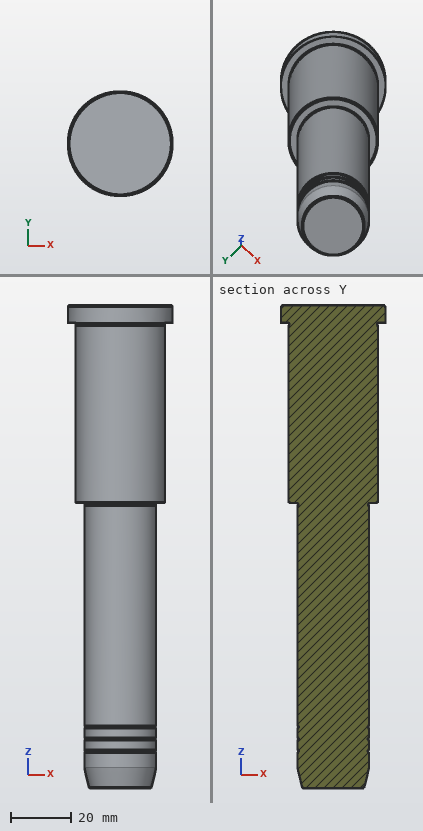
import cadquery as cq

total_length = 161.0
head_height = 6.0
body_bottom = 95.0
taper_height = 7.0

head_radius = 17.47
body_radius = 15.0
shank_radius = 12.0
tip_radius = 10.5

edge_chamfer = 0.5
head_chamfer = 0.56
relief_width = 1.0
relief_depth = 0.3
lead_in_bulge = 0.08

groove_count = 3
lowest_groove_center = 12.4
groove_pitch = 4.0
groove_width = 1.1
groove_depth = 0.5


def cylinder(radius, bottom, top):
    return cq.Workplane("XY").workplane(offset=bottom).circle(radius).extrude(top - bottom)


def ring_cutter(radius, depth, bottom, width):
    """Ring that cuts a V-shaped groove into a cylinder."""
    top = bottom + width
    outside = radius + depth
    return (
        cq.Workplane("XZ")
        .moveTo(outside, bottom)
        .lineTo(radius, bottom)
        .lineTo(radius - depth, bottom + width / 2)
        .lineTo(radius, top)
        .lineTo(outside, top)
        .close()
        .revolve(360, (0, 0, 0), (0, 1, 0))
    )


def make_shank():
    """Revolve the guide shank with its gently curved lead-in and chamfered tip."""
    middle_radius = (shank_radius + tip_radius) / 2 + lead_in_bulge
    middle_height = (taper_height + edge_chamfer) / 2
    return (
        cq.Workplane("XZ")
        .lineTo(tip_radius - edge_chamfer, 0)
        .lineTo(tip_radius, edge_chamfer)
        .threePointArc((middle_radius, middle_height), (shank_radius, taper_height))
        .lineTo(shank_radius, body_bottom)
        .lineTo(0, body_bottom)
        .close()
        .revolve(360, (0, 0, 0), (0, 1, 0))
    )


head_bottom = total_length - head_height
head = cylinder(head_radius, head_bottom, total_length).faces(">Z").edges().chamfer(head_chamfer)
body = cylinder(body_radius, body_bottom, head_bottom).faces("<Z").edges().chamfer(edge_chamfer)
result = make_shank().union(body).union(head)

for radius, shoulder in ((body_radius, head_bottom), (shank_radius, body_bottom)):
    result = result.cut(ring_cutter(radius, relief_depth, shoulder - relief_width, relief_width))

for index in range(groove_count):
    center = lowest_groove_center + index * groove_pitch
    result = result.cut(ring_cutter(shank_radius, groove_depth, center - groove_width / 2, groove_width))